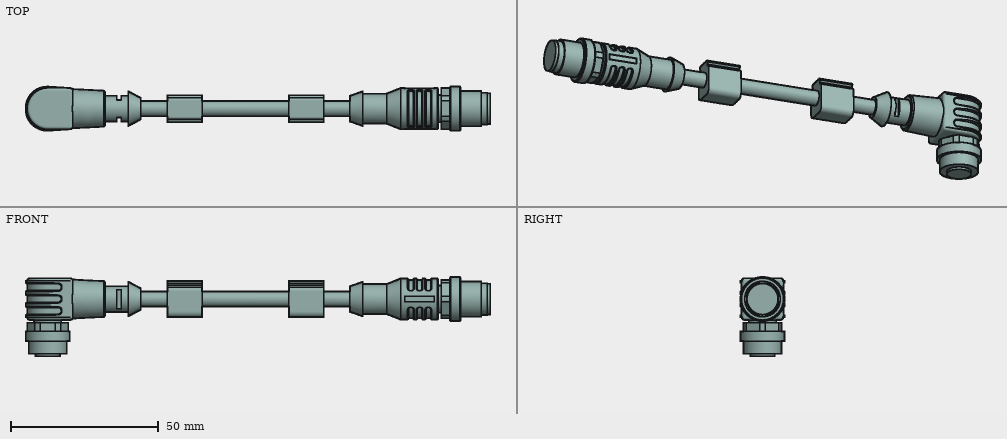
import cadquery as cq
import math


overall_length = 157.1
nut_diameter = 15.0
nut_radius = nut_diameter / 2
plug_end_x = overall_length - nut_radius
socket_end_z = -19.4
cable_diameter = 5.2
neck_diameter = 9.3

body_half_width = 7.0
body_half_height = 7.1
body_end_x = 8.5
body_fillet = 1.0
grip_radius = 7.5
grip_flush_x = body_end_x - body_fillet
grip_half_height = body_half_height - body_fillet
elbow_groove_pitch = 4.0
elbow_groove_floor = 2.2
elbow_groove_end_x = 5.1
elbow_groove_flare = 0.45

arm_start_x = body_end_x - body_fillet
arm_start_diameter = 13.4
arm_end_diameter = 12.2
arm_end_x = 19.4
arm_chamfer = 0.5
spigot_diameter = 8.8
spigot_slot_x = 24.1
spigot_slot_width = 1.4
spigot_slot_floor = 3.0
collar_diameter = 11.8
elbow_collar_x = 27.2
elbow_collar_end_x = 31.5
elbow_collar_tip_diameter = 7.2

hex_across_flats = 13.0
hex_round_diameter = 14.0
socket_hex_top_z = -8.0
socket_ring_top_z = -10.9
socket_ring_bottom_z = -14.2
socket_sleeve_diameter = 13.0
socket_sleeve_end_z = -18.5
socket_insert_diameter = 8.3

clip_length = 11.8
clip_starts_x = (40.4, 81.5)
clip_half_width = 4.6
clip_half_height = 6.15
clip_foot_radius = 1.9
clip_cap_half_flat = 2.6
clip_cap_half_width = 3.6
clip_cap_edge_z = 5.4
clip_notch_half_width = 3.0
clip_notch_z = 4.7
clip_shoulder_half_width = 3.3
clip_shoulder_z = 4.0
clip_side_top_z = 2.8

plug_collar_start_x = 102.1
plug_collar_tip_diameter = 8.7
plug_collar_x = 106.5
plug_sleeve_diameter = 10.2
plug_taper_x = 114.5
plug_grip_x = 119.3
plug_grip_end_x = 132.0
plug_grip_diameter = 14.0
plug_grip_chamfer = 0.4
plug_groove_x = 125.65
plug_groove_pitch = 2.95
plug_groove_floor = 1.5
plug_groove_flare = 0.4
plug_groove_depth = 0.5
plug_groove_end_z = 2.8
panel_length = 9.9
panel_width = 1.9
panel_floor_y = 6.6

plug_hex_x = 132.9
plug_ring_x = 135.8
plug_ring_end_x = 139.6
plug_ring_chamfer = 0.4
plug_thread_diameter = 12.0
plug_thread_end_x = 146.5
plug_tip_diameter = 10.8
plug_tip_step_x = 148.5
plug_rim_diameter = 10.5


def cone_x(start_x, end_x, start_diameter, end_diameter):
    """Solid cone or cylinder on the X axis."""
    profile = [
        (start_x, 0),
        (start_x, start_diameter / 2),
        (end_x, end_diameter / 2),
        (end_x, 0),
    ]
    return cq.Workplane("XY").polyline(profile).close().revolve(360, (0, 0), (1, 0))


def cylinder_x(start_x, end_x, diameter):
    return cone_x(start_x, end_x, diameter, diameter)


def cylinder_z(top_z, bottom_z, diameter):
    return cq.Workplane("XY").workplane(offset=bottom_z).circle(diameter / 2).extrude(top_z - bottom_z)


def rounded_hexagon(length):
    """Hexagonal prism along Z with its corners turned down to a cylinder."""
    across_corners = hex_across_flats / math.cos(math.pi / 6)
    prism = cq.Workplane("XY").polygon(6, across_corners).extrude(length)
    return prism.intersect(cq.Workplane("XY").circle(hex_round_diameter / 2).extrude(length))


def make_elbow_groove(center_z):
    """U-shaped groove tool: around the rear half, along both sides, with conical ends."""
    height = 2 * (grip_radius - body_half_width)
    floor_y = body_half_width
    top_y = floor_y + height
    floor_half = elbow_groove_floor / 2
    flare = elbow_groove_flare * height / (grip_radius - body_half_width)
    top_half = floor_half + flare
    end_center_x = elbow_groove_end_x - floor_half - elbow_groove_flare
    section = [
        (floor_y, -floor_half),
        (top_y, -top_half),
        (top_y, top_half),
        (floor_y, floor_half),
    ]
    rear = cq.Workplane("YZ").polyline(section).close().revolve(180, (0, 0), (0, 1))
    side = cq.Workplane("YZ").polyline(section).close().extrude(end_center_x)
    end_profile = [
        (end_center_x, floor_y),
        (end_center_x + floor_half, floor_y),
        (end_center_x + top_half, top_y),
        (end_center_x, top_y),
    ]
    end = (
        cq.Workplane("XY").polyline(end_profile).close()
        .revolve(360, (end_center_x, 0), (end_center_x, 1))
    )
    side = side.union(end)
    tool = rear.union(side).union(side.mirror("XZ"))
    return tool.translate((0, 0, center_z))


def make_elbow_body():
    core = (
        cq.Workplane("XY").workplane(offset=-body_half_height)
        .moveTo(0, body_half_width)
        .threePointArc((-body_half_width, 0), (0, -body_half_width))
        .lineTo(body_end_x, -body_half_width)
        .lineTo(body_end_x, body_half_width)
        .close()
        .extrude(2 * body_half_height)
        .faces(">Z or <Z or >X").edges().fillet(body_fillet)
    )
    grip = (
        cq.Workplane("XY").workplane(offset=-grip_half_height)
        .moveTo(0, grip_radius)
        .threePointArc((-grip_radius, 0), (0, -grip_radius))
        .lineTo(grip_flush_x, -body_half_width)
        .lineTo(grip_flush_x, body_half_width)
        .close()
        .extrude(2 * grip_half_height)
    )
    for index in (-1, 0, 1):
        grip = grip.cut(make_elbow_groove(index * elbow_groove_pitch))
    return core.union(grip)


def make_elbow_outlet():
    arm = cone_x(arm_start_x, arm_end_x, arm_start_diameter, arm_end_diameter)
    arm = arm.faces(">X").edges().chamfer(arm_chamfer)
    spigot = cylinder_x(arm_end_x, elbow_collar_x, spigot_diameter)
    slot = cq.Workplane("XY").box(spigot_slot_width, spigot_diameter, spigot_diameter)
    for side in (-1, 1):
        slot_y = side * (spigot_slot_floor + spigot_diameter / 2)
        spigot = spigot.cut(slot.translate((spigot_slot_x, slot_y, 0)))
    collar = cone_x(elbow_collar_x, elbow_collar_end_x, collar_diameter, elbow_collar_tip_diameter)
    return arm.union(spigot).union(collar)


def make_socket():
    neck = cylinder_z(0, socket_hex_top_z, neck_diameter)
    hexagon = rounded_hexagon(socket_hex_top_z - socket_ring_top_z)
    hexagon = hexagon.translate((0, 0, socket_ring_top_z))
    ring = cylinder_z(socket_ring_top_z, socket_ring_bottom_z, nut_diameter)
    sleeve = cylinder_z(socket_ring_bottom_z, socket_sleeve_end_z, socket_sleeve_diameter)
    insert = cylinder_z(socket_sleeve_end_z, socket_end_z, socket_insert_diameter)
    return neck.union(hexagon).union(ring).union(sleeve).union(insert)


def make_clip(start_x):
    """Label clip: block with rounded edges and a V notch under its cap on both sides."""
    bulge = math.sqrt(0.5)
    cap_width = clip_cap_half_width - clip_cap_half_flat
    cap_height = clip_half_height - clip_cap_edge_z
    cap_middle = (
        clip_cap_half_flat + cap_width * bulge,
        clip_cap_edge_z + cap_height * bulge,
    )
    shoulder_middle = (
        clip_shoulder_half_width + (clip_half_width - clip_shoulder_half_width) * bulge,
        clip_side_top_z + (clip_shoulder_z - clip_side_top_z) * bulge,
    )
    foot_offset = clip_foot_radius * (1 - bulge)
    foot_middle = (clip_half_width - foot_offset, foot_offset - clip_half_height)
    half = (
        cq.Workplane("YZ").workplane(offset=start_x)
        .moveTo(0, clip_half_height)
        .lineTo(clip_cap_half_flat, clip_half_height)
        .threePointArc(cap_middle, (clip_cap_half_width, clip_cap_edge_z))
        .lineTo(clip_notch_half_width, clip_notch_z)
        .lineTo(clip_shoulder_half_width, clip_shoulder_z)
        .threePointArc(shoulder_middle, (clip_half_width, clip_side_top_z))
        .lineTo(clip_half_width, clip_foot_radius - clip_half_height)
        .threePointArc(foot_middle, (clip_half_width - clip_foot_radius, -clip_half_height))
        .lineTo(0, -clip_half_height)
        .close()
        .extrude(clip_length)
    )
    return half.union(half.mirror("XZ"))


def make_plug_groove(center_x, side):
    """Ring sector with flared walls and rounded lower ends, on the top (1) or bottom (-1)."""
    outer_radius = plug_grip_diameter / 2
    floor_radius = outer_radius - plug_groove_depth
    tool_radius = outer_radius + plug_groove_depth
    floor_half = plug_groove_floor / 2
    top_half = floor_half + 2 * plug_groove_flare
    section = [
        (center_x - floor_half, floor_radius),
        (center_x - top_half, tool_radius),
        (center_x + top_half, tool_radius),
        (center_x + floor_half, floor_radius),
    ]
    ring = cq.Workplane("XY").polyline(section).close().revolve(360, (0, 0), (1, 0))
    half_opening = floor_half + plug_groove_flare
    end_z = side * (plug_groove_end_z + half_opening)
    window = (
        cq.Workplane("XZ")
        .moveTo(center_x - half_opening, side * tool_radius)
        .lineTo(center_x - half_opening, end_z)
        .threePointArc((center_x, side * plug_groove_end_z), (center_x + half_opening, end_z))
        .lineTo(center_x + half_opening, side * tool_radius)
        .close()
        .extrude(tool_radius, both=True)
    )
    return ring.intersect(window)


def make_plug_grip():
    grip = cylinder_x(plug_grip_x, plug_grip_end_x, plug_grip_diameter)
    grip = grip.faces(">X").edges().chamfer(plug_grip_chamfer)
    for side in (-1, 1):
        for index in (-1, 0, 1):
            grip = grip.cut(make_plug_groove(plug_groove_x + index * plug_groove_pitch, side))
        panel_depth = plug_grip_diameter / 2 - panel_floor_y
        panel = cq.Workplane("XY").box(panel_length, panel_depth, panel_width)
        panel_y = side * (panel_floor_y + panel_depth / 2)
        grip = grip.cut(panel.translate((plug_groove_x, panel_y, 0)))
    return grip


def make_plug_body():
    collar = cone_x(plug_collar_start_x, plug_collar_x, plug_collar_tip_diameter, collar_diameter)
    sleeve = cylinder_x(plug_collar_x, plug_taper_x, plug_sleeve_diameter)
    taper = cone_x(plug_taper_x, plug_grip_x, plug_sleeve_diameter, plug_grip_diameter)
    return collar.union(sleeve).union(taper).union(make_plug_grip())


def make_plug_nut():
    neck = cylinder_x(plug_grip_end_x, plug_hex_x, neck_diameter)
    hexagon = rounded_hexagon(plug_ring_x - plug_hex_x)
    hexagon = hexagon.rotate((0, 0, 0), (0, 0, 1), 90).rotate((0, 0, 0), (0, 1, 0), 90)
    hexagon = hexagon.translate((plug_hex_x, 0, 0))
    ring = cylinder_x(plug_ring_x, plug_ring_end_x, nut_diameter)
    ring = ring.faces("<X or >X").edges().chamfer(plug_ring_chamfer)
    thread = cylinder_x(plug_ring_end_x, plug_thread_end_x, plug_thread_diameter)
    tip = cylinder_x(plug_thread_end_x, plug_tip_step_x, plug_tip_diameter)
    rim = cylinder_x(plug_tip_step_x, plug_end_x, plug_rim_diameter)
    return neck.union(hexagon).union(ring).union(thread).union(tip).union(rim)


result = make_elbow_body().union(make_elbow_outlet()).union(make_socket())
result = result.union(cylinder_x(elbow_collar_end_x, plug_collar_start_x, cable_diameter))
for clip_start_x in clip_starts_x:
    result = result.union(make_clip(clip_start_x))
result = result.union(make_plug_body()).union(make_plug_nut())